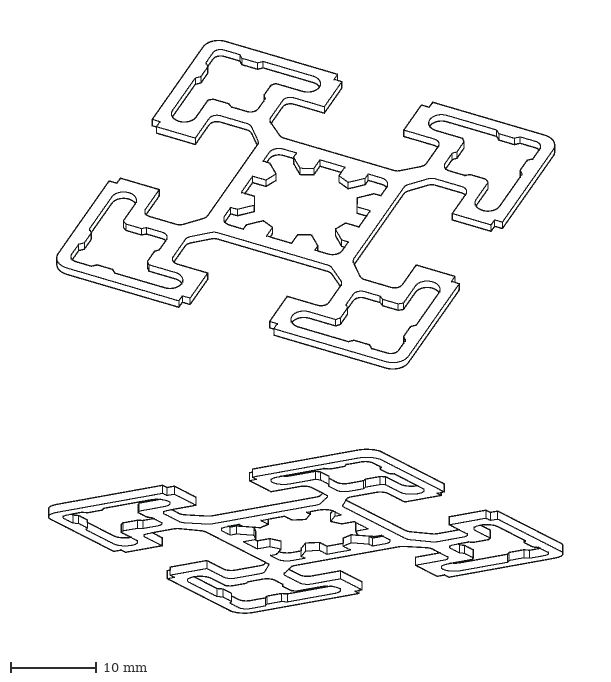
import cadquery as cq

side = 45.0
thickness = 1.0
half = side / 2
corner_radius = 2.0

lip_thickness = 6.0
mouth_half_width = 5.1
rebate = 1.0
chamber_half_width = 10.0
chamber_radius = 1.0
chamber_top = half - lip_thickness
core_half = 9.4
floor_half_width = 7.45
wall_foot = 11.65
overshoot = 1.0

outer_wall = 1.5
arm_width = 3.0
arm_end_wall = 2.0
arm_length = half - outer_wall - mouth_half_width - arm_end_wall
pocket_wall = 2.0
pocket_radius = 1.0
pocket_near = half - outer_wall
pocket_far = chamber_half_width + pocket_wall

rib_from_edge = 6.0
rib_base = 3.0
rib_top = 2.0
outer_rib_height = 0.5
inner_rib_height = 0.4

opening_half = 7.55
opening_radius = 1.25
tooth_start = 1.6
tooth_end = 4.6
tooth_middle = (tooth_start + tooth_end) / 2
tip_height = 5.2
inner_flank_height = 5.85
outer_flank_height = 6.7


def box(x_min, x_max, y_min, y_max):
    """Full-thickness block between the given limits."""
    return (
        cq.Workplane("XY")
        .rect(x_max - x_min, y_max - y_min)
        .extrude(thickness)
        .translate(((x_min + x_max) / 2, (y_min + y_max) / 2, 0))
    )


def quarter_turns(shape):
    """Four copies of a shape, a quarter turn apart about Z."""
    return [shape.rotate((0, 0, 0), (0, 0, 1), 90 * turn) for turn in range(4)]


def mirror_diagonal(shape):
    """Mirror a shape across the plane X = Y."""
    return shape.mirror("YZ").rotate((0, 0, 0), (0, 0, 1), -90)


def t_slot():
    """Cutter for the slot on the +Y side."""
    chamber = (
        cq.Workplane("XY")
        .polyline([
            (-chamber_half_width, chamber_top),
            (chamber_half_width, chamber_top),
            (chamber_half_width, wall_foot),
            (floor_half_width, core_half),
            (-floor_half_width, core_half),
            (-chamber_half_width, wall_foot),
        ])
        .close()
        .extrude(thickness)
        .edges("|Z")
        .fillet(chamber_radius)
    )
    slot_end = half + overshoot
    mouth = box(-mouth_half_width, mouth_half_width, core_half, slot_end)
    step_half_width = mouth_half_width + rebate
    step = box(-step_half_width, step_half_width, half - rebate, slot_end)
    return chamber.union(mouth).union(step)


def pocket_rib(root, height):
    """Rib rising in +Y from y = root, centred near the (+X, +Y) corner."""
    center = half - rib_from_edge
    return (
        cq.Workplane("XY")
        .polyline([
            (center - rib_base / 2, root),
            (center + rib_base / 2, root),
            (center + rib_top / 2, root + height),
            (center - rib_top / 2, root + height),
        ])
        .close()
        .extrude(thickness)
    )


def corner_pocket():
    """Cutter for the pocket in the (+X, +Y) corner."""
    arm = (
        cq.Workplane("XY")
        .slot2D(arm_length, arm_width)
        .extrude(thickness)
        .translate((pocket_near - arm_length / 2, pocket_near - arm_width / 2, 0))
    )
    square = (
        box(pocket_far, pocket_near, pocket_far, pocket_near)
        .edges("|Z and (not ((<X and >Y) or (>X and <Y)))")
        .fillet(pocket_radius)
    )
    pocket = square.union(arm).union(mirror_diagonal(arm))
    for rib in (pocket_rib(pocket_near, -outer_rib_height), pocket_rib(pocket_far, inner_rib_height)):
        pocket = pocket.cut(rib).cut(mirror_diagonal(rib))
    return pocket


def central_opening():
    """Cutter for the rounded square opening, leaving the teeth standing."""
    opening = (
        box(-opening_half, opening_half, -opening_half, opening_half)
        .edges("|Z")
        .fillet(opening_radius)
    )
    tooth = (
        cq.Workplane("XY")
        .polyline([
            (tooth_start, opening_half),
            (tooth_start, inner_flank_height),
            (tooth_middle, tip_height),
            (tooth_end, outer_flank_height),
            (tooth_end, opening_half),
        ])
        .close()
        .extrude(thickness)
    )
    for pair in quarter_turns(tooth.union(tooth.mirror("YZ"))):
        opening = opening.cut(pair)
    return opening


def profile_slice():
    """Thin slice of the slotted square profile."""
    plate = box(-half, half, -half, half).edges("|Z").fillet(corner_radius)
    for cutter in quarter_turns(t_slot()) + quarter_turns(corner_pocket()):
        plate = plate.cut(cutter)
    return plate.cut(central_opening())


result = profile_slice()